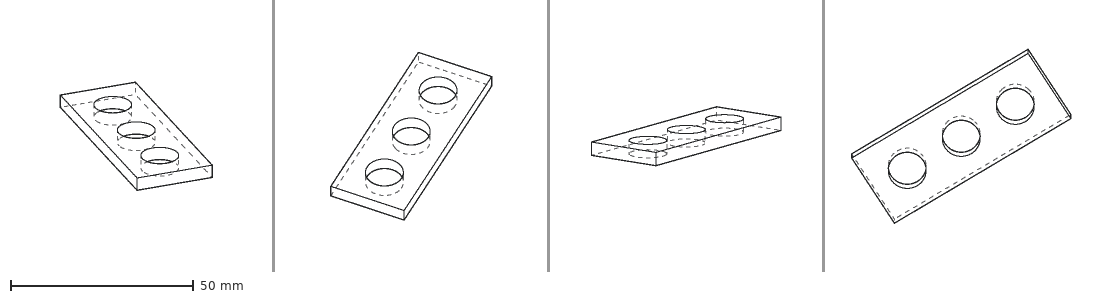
import cadquery as cq

length = 57.15
width = 22.25
thickness = 3.8

hole_diameter = 10.4
hole_pitch = 17.5
hole_count = 3

plate = cq.Workplane("XY").box(length, width, thickness)

result = (
    plate.faces(">Z")
    .workplane()
    .rarray(hole_pitch, 0.6, hole_count, 1)
    .hole(hole_diameter)
)